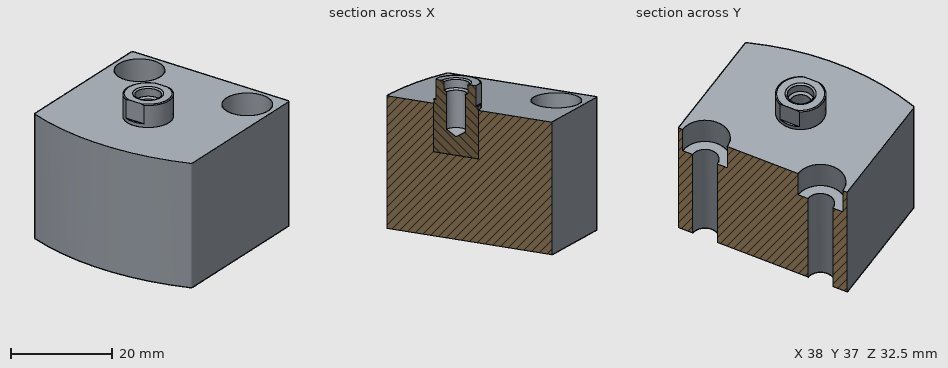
import cadquery as cq
import math

width = 38.0
depth = 37.0
total_height = 32.5
rod_projection = 5.0
height = total_height - rod_projection
front_bow = 3.45
corner_radius = 0.5

mount_x = 13.0
mount_from_back = 6.0
mount_diameter = 5.5
counterbore_diameter = 10.0
counterbore_depth = 5.8

rod_diameter = 10.0
rod_from_back = 21.5
rod_insertion = 10.0
rod_length = rod_insertion + rod_projection
rod_chamfer_height = 0.15
rod_chamfer_width = 0.25
flats_width = 9.0
flats_length = 4.2
socket_mouth_diameter = 6.1
socket_diameter = 5.3
socket_depth = 1.95
thread_diameter = 4.15
thread_depth = 10.0
cone_angle = 120.0

back_y = depth / 2
rod_y = back_y - rod_from_back
rod_bottom_z = height - rod_insertion


def make_housing():
    """Block with a bowed front, two counterbored holes and a blind rod bore."""
    half_width = width / 2
    front_y = -depth / 2
    block = (
        cq.Workplane("XY")
        .moveTo(-half_width, back_y)
        .lineTo(-half_width, front_y + front_bow)
        .threePointArc((0, front_y), (half_width, front_y + front_bow))
        .lineTo(half_width, back_y)
        .close()
        .extrude(height)
        .edges("|Z")
        .fillet(corner_radius)
    )
    mount_y = back_y - mount_from_back
    block = (
        block.faces(">Z")
        .workplane(origin=(0, 0, height))
        .pushPoints([(-mount_x, mount_y), (mount_x, mount_y)])
        .cboreHole(mount_diameter, counterbore_diameter, counterbore_depth)
    )
    rod_bore = (
        cq.Workplane("XY", origin=(0, rod_y, rod_bottom_z))
        .circle(rod_diameter / 2)
        .extrude(rod_insertion)
    )
    return block.cut(rod_bore)


def make_socket():
    """Revolved cutter: countersunk mouth, clearance bore, thread bore and drill point."""
    mouth_radius = socket_mouth_diameter / 2
    socket_radius = socket_diameter / 2
    thread_radius = thread_diameter / 2
    cone_slope = 1 / math.tan(math.radians(cone_angle / 2))
    mouth_depth = (mouth_radius - socket_radius) * cone_slope
    step_depth = socket_depth + (socket_radius - thread_radius) * cone_slope
    point_depth = thread_radius * cone_slope
    return (
        cq.Workplane("XZ")
        .moveTo(0, 0)
        .lineTo(mouth_radius, 0)
        .lineTo(socket_radius, -mouth_depth)
        .lineTo(socket_radius, -socket_depth)
        .lineTo(thread_radius, -step_depth)
        .lineTo(thread_radius, -thread_depth)
        .lineTo(0, -thread_depth - point_depth)
        .close()
        .revolve(360, (0, 0, 0), (0, 1, 0))
        .translate((0, rod_y, total_height))
    )


def make_rod():
    """Round rod seated in the housing, with flats facing front and back."""
    rod = (
        cq.Workplane("XY", origin=(0, rod_y, rod_bottom_z))
        .circle(rod_diameter / 2)
        .extrude(rod_length)
        .faces(">Z")
        .edges()
        .chamfer(rod_chamfer_height, rod_chamfer_width)
    )
    for side in (-1, 1):
        flat_cut = cq.Workplane("XY").box(
            rod_diameter, rod_diameter, flats_length, centered=(True, True, False)
        )
        cut_y = rod_y + side * (flats_width + rod_diameter) / 2
        rod = rod.cut(flat_cut.translate((0, cut_y, total_height - flats_length)))
    return rod.cut(make_socket())


housing = make_housing()
rod = make_rod()
result = cq.Compound.makeCompound([housing.val(), rod.val()])